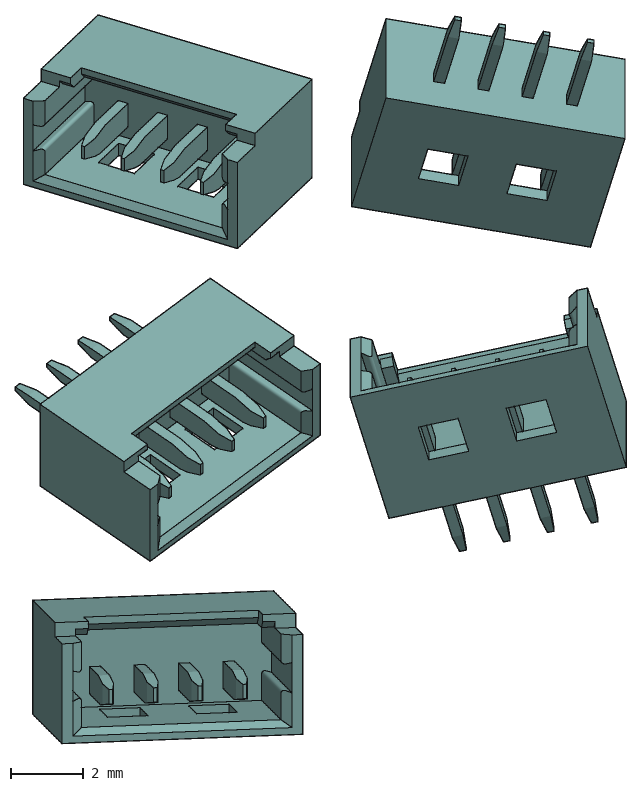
import cadquery as cq

WIDTH = 6.75
DEPTH = 4.2
HEIGHT = 3.2
SIDE_WALL = 0.58
FLOOR = 0.4
ROOF = 0.4
CAVITY_DEPTH = 2.93

MOUTH_SIDE_WALL = 0.305
MOUTH_FLOOR = 0.2
ROOF_LIP = 0.2
LEAD_IN_DEPTH = 0.18

ROOF_SETBACK = 1.0
NOTCH_WIDTH = 4.89
NOTCH_SETBACK = 1.6

GROOVE_HEIGHT = 1.6
GROOVE_FLOOR_HALF = 0.425
GROOVE_MOUTH_HALF = 0.34
GROOVE_ROUND = 0.09
LIP_SEARCH = 0.07

WINDOW_SIZE = 1.135
WINDOW_FRONT = 1.445

PIN_COUNT = 4
PITCH = 1.25
PIN_WIDTH = 0.31

BLADE_ROOT = 0.32
BLADE_BOTTOM = 0.77
BLADE_TOP = 1.53
BLADE_TIP_BOTTOM = 0.925
BLADE_TIP_TOP = 1.33
BLADE_TIP_Y = 0.68
BLADE_TIP_WIDTH = 0.1
BLADE_SIDE_TAPER_Y = 1.07
BLADE_TOP_TAPER_Y = 1.65
BLADE_BOTTOM_TAPER_Y = 1.365

TAIL_LENGTH = 2.3
TAIL_CENTRE_Z = 1.16
TAIL_HEIGHT = 0.35
TAIL_TAPER = 0.58
TAIL_TIP_WIDTH = 0.19
TAIL_TIP_HEIGHT = 0.14

CEILING = HEIGHT - ROOF
CAVITY_WIDTH = WIDTH - 2 * SIDE_WALL
MOUTH_WIDTH = WIDTH - 2 * MOUTH_SIDE_WALL


def block(width, y_front, y_back, z_bottom, z_top, x_centre=0.0):
    """Box centred on x_centre, between the given Y and Z limits."""
    size = (width, y_back - y_front, z_top - z_bottom)
    corner = (x_centre - width / 2, y_front, z_bottom)
    return cq.Workplane("XY").box(*size, centered=False).translate(corner)


def extrude_along_x(points, width):
    """Solid with a (Y, Z) outline, centred on X."""
    return cq.Workplane("YZ").polyline(points).close().extrude(width / 2, both=True)


def cavity():
    inside = block(CAVITY_WIDTH, 0, CAVITY_DEPTH, FLOOR, CEILING)
    mouth_z = (MOUTH_FLOOR + HEIGHT) / 2
    throat_z = (FLOOR + HEIGHT) / 2
    mouth = (
        cq.Workplane("XZ")
        .center(0, mouth_z)
        .rect(MOUTH_WIDTH, HEIGHT - MOUTH_FLOOR)
        .workplane(offset=-LEAD_IN_DEPTH)
        .center(0, throat_z - mouth_z)
        .rect(CAVITY_WIDTH, HEIGHT - FLOOR)
        .loft()
    )
    return inside.union(mouth)


def roof_opening(width, lead_in_width, setback):
    """Cut the roof back to the setback and chamfer the lower edge of the new front."""
    opening = block(width, 0, setback, CEILING, HEIGHT)
    lead_in = extrude_along_x(
        [
            (setback, CEILING),
            (setback, HEIGHT - ROOF_LIP),
            (setback + LEAD_IN_DEPTH, CEILING),
        ],
        lead_in_width,
    )
    return opening.union(lead_in)


def side_groove(side):
    """Flared groove with rounded lips; side is -1 or 1."""
    x_floor = side * MOUTH_WIDTH / 2
    x_mouth = side * CAVITY_WIDTH / 2
    x_clear = x_mouth - side * SIDE_WALL
    groove = (
        cq.Workplane("XZ")
        .polyline(
            [
                (x_floor, GROOVE_HEIGHT - GROOVE_FLOOR_HALF),
                (x_mouth, GROOVE_HEIGHT - GROOVE_MOUTH_HALF),
                (x_mouth, FLOOR),
                (x_clear, FLOOR),
                (x_clear, CEILING),
                (x_mouth, CEILING),
                (x_mouth, GROOVE_HEIGHT + GROOVE_MOUTH_HALF),
                (x_floor, GROOVE_HEIGHT + GROOVE_FLOOR_HALF),
            ]
        )
        .close()
        .extrude(-CAVITY_DEPTH)
    )
    lips = cq.selectors.BoxSelector(
        (x_mouth - LIP_SEARCH, 0, GROOVE_HEIGHT - GROOVE_FLOOR_HALF),
        (x_mouth + LIP_SEARCH, CAVITY_DEPTH, GROOVE_HEIGHT + GROOVE_FLOOR_HALF),
    )
    return groove.edges("|Y").edges(lips).fillet(GROOVE_ROUND)


def window(x_centre):
    return block(WINDOW_SIZE, WINDOW_FRONT, WINDOW_FRONT + WINDOW_SIZE, 0, FLOOR, x_centre)


def blade():
    """Front end of a pin: tapered top and bottom, then pinched at the sides."""
    back = CAVITY_DEPTH + BLADE_ROOT
    profile = extrude_along_x(
        [
            (back, BLADE_BOTTOM),
            (BLADE_BOTTOM_TAPER_Y, BLADE_BOTTOM),
            (BLADE_TIP_Y, BLADE_TIP_BOTTOM),
            (BLADE_TIP_Y, BLADE_TIP_TOP),
            (BLADE_TOP_TAPER_Y, BLADE_TOP),
            (back, BLADE_TOP),
        ],
        PIN_WIDTH,
    )
    plan = (
        cq.Workplane("XY")
        .polyline(
            [
                (-PIN_WIDTH / 2, back),
                (-PIN_WIDTH / 2, BLADE_SIDE_TAPER_Y),
                (-BLADE_TIP_WIDTH / 2, BLADE_TIP_Y),
                (BLADE_TIP_WIDTH / 2, BLADE_TIP_Y),
                (PIN_WIDTH / 2, BLADE_SIDE_TAPER_Y),
                (PIN_WIDTH / 2, back),
            ]
        )
        .close()
        .extrude(HEIGHT)
    )
    return profile.intersect(plan)


def tail():
    """Rear end of a pin: a bar with a four-sided tapered tip."""
    taper_start = DEPTH + TAIL_LENGTH - TAIL_TAPER
    bar = block(
        PIN_WIDTH,
        CAVITY_DEPTH,
        taper_start,
        TAIL_CENTRE_Z - TAIL_HEIGHT / 2,
        TAIL_CENTRE_Z + TAIL_HEIGHT / 2,
    )
    tip = (
        cq.Workplane("XZ", origin=(0, taper_start, TAIL_CENTRE_Z))
        .rect(PIN_WIDTH, TAIL_HEIGHT)
        .workplane(offset=-TAIL_TAPER)
        .rect(TAIL_TIP_WIDTH, TAIL_TIP_HEIGHT)
        .loft()
    )
    return bar.union(tip)


housing = block(WIDTH, 0, DEPTH, 0, HEIGHT)
housing = housing.cut(cavity())
housing = housing.cut(roof_opening(WIDTH, CAVITY_WIDTH, ROOF_SETBACK))
housing = housing.cut(roof_opening(NOTCH_WIDTH, NOTCH_WIDTH, NOTCH_SETBACK))
for side in (-1, 1):
    housing = housing.cut(side_groove(side))
    housing = housing.cut(window(side * PITCH))

pin = blade().union(tail())
result = housing
for index in range(PIN_COUNT):
    pin_x = (index - (PIN_COUNT - 1) / 2) * PITCH
    result = result.union(pin.translate((pin_x, 0, 0)))